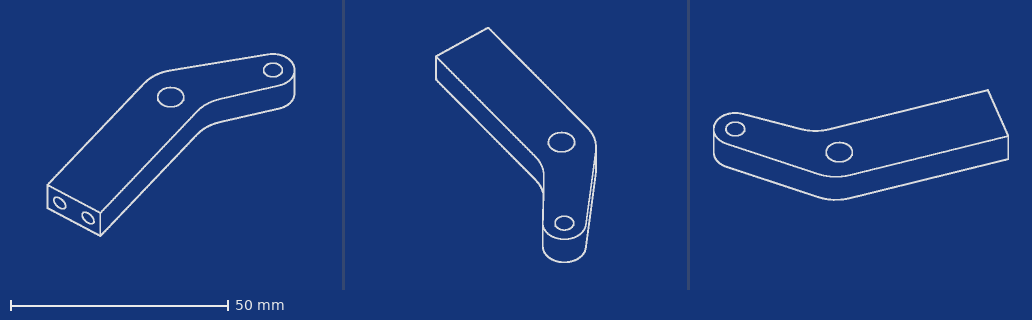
import cadquery as cq
import math

length = 64.0
thickness = 8.0
body_width = 15.0
overall_width = 26.8

tip_radius = 5.0
bend_radius = 10.0
bend_y = 38.5
half_width = body_width / 2
tip_x = overall_width - half_width - tip_radius
tip_y = length - tip_radius

pivot_diameter = 6.0
tip_hole_diameter = 4.3
end_hole_diameter = 3.3
end_hole_spacing = 8.0
end_hole_depth = 10.0
drill_point_angle = 118.0


def on_circle(center, radius, angle):
    return (center[0] + radius * math.cos(angle), center[1] + radius * math.sin(angle))


def arm_profile():
    """Outline whose sloping edges are tangent to the bends and to the tip."""
    tip = (tip_x, tip_y)
    outer_bend = (bend_radius - half_width, bend_y)
    inner_bend = (half_width + bend_radius, bend_y)

    dx = tip[0] - outer_bend[0]
    dy = tip[1] - outer_bend[1]
    outer_angle = math.atan2(dy, dx) + math.acos((bend_radius - tip_radius) / math.hypot(dx, dy))

    dx = tip[0] - inner_bend[0]
    dy = tip[1] - inner_bend[1]
    inner_angle = math.atan2(dy, dx) + math.acos((bend_radius + tip_radius) / math.hypot(dx, dy))
    tip_inner_angle = inner_angle - math.pi

    tip_mid_angle = (outer_angle + tip_inner_angle) / 2
    outer_mid_angle = (outer_angle + math.pi) / 2
    inner_mid_angle = (inner_angle + math.pi) / 2

    return (
        cq.Workplane("XY")
        .moveTo(-half_width, 0)
        .lineTo(-half_width, bend_y)
        .threePointArc(
            on_circle(outer_bend, bend_radius, outer_mid_angle),
            on_circle(outer_bend, bend_radius, outer_angle),
        )
        .lineTo(*on_circle(tip, tip_radius, outer_angle))
        .threePointArc(
            on_circle(tip, tip_radius, tip_mid_angle),
            on_circle(tip, tip_radius, tip_inner_angle),
        )
        .lineTo(*on_circle(inner_bend, bend_radius, inner_angle))
        .threePointArc(
            on_circle(inner_bend, bend_radius, inner_mid_angle),
            (half_width, bend_y),
        )
        .lineTo(half_width, 0)
        .close()
    )


def through_hole(x, y, diameter):
    return cq.Workplane("XY").center(x, y).circle(diameter / 2).extrude(thickness)


def end_hole(x):
    """Blind hole with a conical drill point, running along +Y from the square end."""
    radius = end_hole_diameter / 2
    point_depth = radius / math.tan(math.radians(drill_point_angle / 2))
    return (
        cq.Workplane("XY")
        .polyline([
            (0, 0),
            (radius, 0),
            (radius, end_hole_depth),
            (0, end_hole_depth + point_depth),
        ])
        .close()
        .revolve(360, (0, 0, 0), (0, 1, 0))
        .translate((x, 0, thickness / 2))
    )


result = arm_profile().extrude(thickness)
result = result.cut(through_hole(0, bend_y, pivot_diameter))
result = result.cut(through_hole(tip_x, tip_y, tip_hole_diameter))
for side in (-1, 1):
    result = result.cut(end_hole(side * end_hole_spacing / 2))